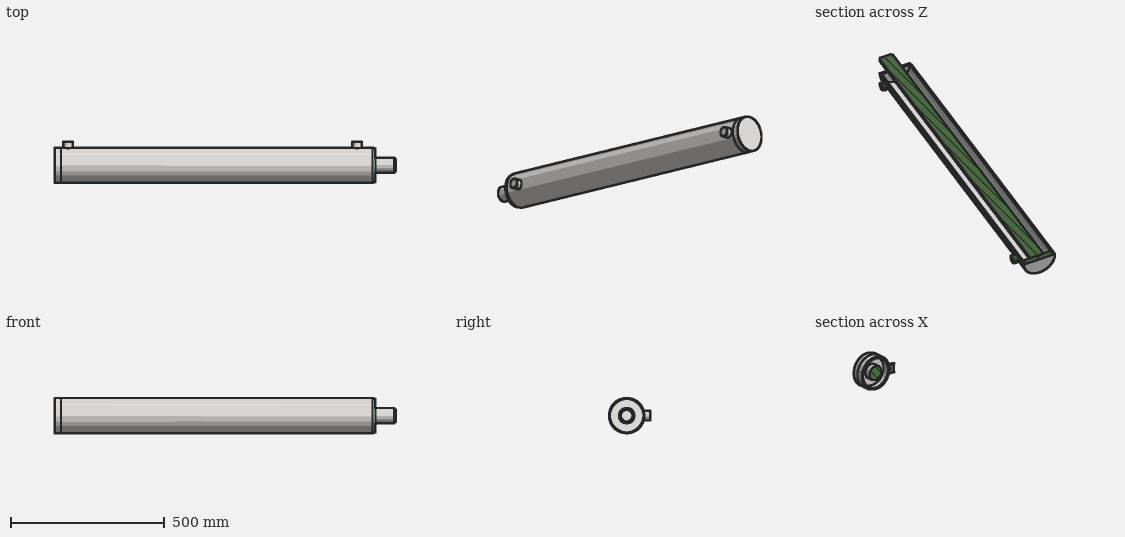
import cadquery as cq

overall_length = 1110.0
tube_diameter = 115.0
bore_diameter = 100.0
cap_length = 21.0
cap_chamfer = 1.0
gland_length = 10.0
gland_face_diameter = 109.0
rod_diameter = 50.0
rod_protrusion = 66.0
rod_chamfer = 6.0
port_diameter = 32.0
port_protrusion = 20.0
port_chamfer = 1.5
rear_port_x = 43.0
front_port_setback = 60.0

gland_face_x = overall_length - rod_protrusion
tube_end_x = gland_face_x - gland_length
tube_length = tube_end_x - cap_length
front_port_x = gland_face_x - front_port_setback

tube_radius = tube_diameter / 2


def cylinder_along_x(diameter, start_x, length):
    """Solid cylinder on the main axis."""
    return cq.Workplane("YZ", origin=(start_x, 0, 0)).circle(diameter / 2).extrude(length)


def make_cap():
    """Disc with a broken rear edge that closes the rear end of the tube."""
    cap = cylinder_along_x(tube_diameter, 0, cap_length)
    return cap.faces("<X").edges().chamfer(cap_chamfer)


def make_tube():
    """Plain barrel between the cap and the gland."""
    bore = cylinder_along_x(bore_diameter, cap_length, tube_length)
    return cylinder_along_x(tube_diameter, cap_length, tube_length).cut(bore)


def make_gland():
    """End ring that tapers towards its front face and guides the rod."""
    tube_end = cq.Workplane("YZ", origin=(tube_end_x, 0, 0)).circle(tube_radius)
    cone = tube_end.workplane(offset=gland_length).circle(gland_face_diameter / 2).loft(ruled=True)
    return cone.cut(cylinder_along_x(rod_diameter, tube_end_x, gland_length))


def make_rod():
    """Retracted rod, from the cap through the gland to its chamfered tip."""
    rod = cylinder_along_x(rod_diameter, cap_length, overall_length - cap_length)
    return rod.faces(">X").edges().chamfer(rod_chamfer)


def make_port(center_x):
    """Round stub on the +Y side, its foot saddled onto the outside of the tube."""
    port_height = tube_radius + port_protrusion
    stub = cq.Workplane("XZ", origin=(center_x, 0, 0)).circle(port_diameter / 2).extrude(-port_height)
    stub = stub.faces(">Y").edges().chamfer(port_chamfer)
    return stub.cut(cylinder_along_x(tube_diameter, cap_length, tube_length))


cap = make_cap()
tube = make_tube()
gland = make_gland()
rod = make_rod()
ports = [make_port(x) for x in (rear_port_x, front_port_x)]

bodies = [cap, tube, gland, rod, *ports]
result = cq.Compound.makeCompound([body.val() for body in bodies])